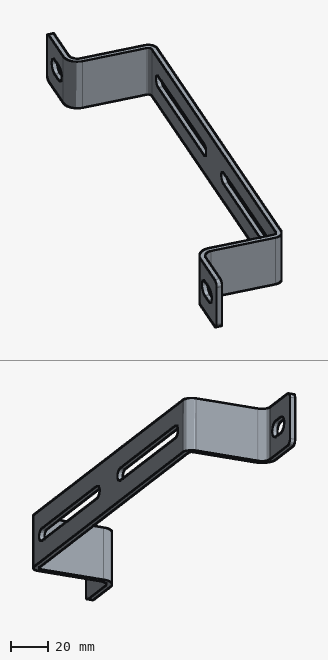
import cadquery as cq

length = 260.0
depth = 50.0
width = 30.0

thickness = 3.0
bridge_length = 200.0
bridge_bend_radius = 2.0
foot_bend_radius = 5.0
foot_corner_radius = 3.0

foot_slot_length = 15.0
foot_slot_width = 9.0
foot_slot_offset = 115.0
bridge_slot_length = 77.0
bridge_slot_width = 7.0
bridge_slot_offset = 50.0

half_length = length / 2
half_bridge = bridge_length / 2
front = -depth / 2
back = depth / 2


def bent_strip():
    """Hat-shaped strip with sharp bends, extruded along Z."""
    inner = half_bridge - thickness
    foot_back = front + thickness
    bridge_front = back - thickness
    return (
        cq.Workplane("XY")
        .polyline([
            (-half_length, front),
            (-inner, front),
            (-inner, bridge_front),
            (inner, bridge_front),
            (inner, front),
            (half_length, front),
            (half_length, foot_back),
            (half_bridge, foot_back),
            (half_bridge, back),
            (-half_bridge, back),
            (-half_bridge, foot_back),
            (-half_length, foot_back),
        ])
        .close()
        .extrude(width / 2, both=True)
    )


def round_bend(body, side, convex_y, inward_y, outer_is_outside, inside_radius):
    """Round both edges of one bend so that its two arcs are concentric."""
    inner_x = side * (half_bridge - thickness)
    outer_x = side * half_bridge
    convex_x, concave_x = (outer_x, inner_x) if outer_is_outside else (inner_x, outer_x)
    concave_y = convex_y + inward_y * thickness
    corners = (
        (convex_x, convex_y, inside_radius + thickness),
        (concave_x, concave_y, inside_radius),
    )
    for x, y, radius in corners:
        edge = cq.selectors.NearestToPointSelector((x, y, 0))
        body = body.edges("|Z").edges(edge).fillet(radius)
    return body


def slot_cutter(x, slot_length, slot_width):
    """Straight slot along X that passes through the strip in Y."""
    return (
        cq.Workplane("XZ")
        .center(x, 0)
        .slot2D(slot_length, slot_width)
        .extrude(depth, both=True)
    )


result = bent_strip()
for side in (-1, 1):
    result = round_bend(result, side, back, -1, True, bridge_bend_radius)
    result = round_bend(result, side, front, 1, False, foot_bend_radius)

result = result.faces("<X or >X").edges("|Y").fillet(foot_corner_radius)

for side in (-1, 1):
    result = result.cut(slot_cutter(side * foot_slot_offset, foot_slot_length, foot_slot_width))
    result = result.cut(slot_cutter(side * bridge_slot_offset, bridge_slot_length, bridge_slot_width))